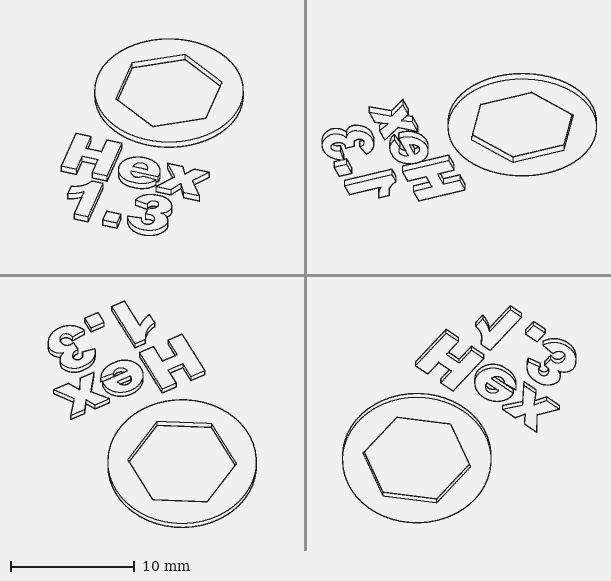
import cadquery as cq
import math

OVERALL_LENGTH = 22.08
THICKNESS = 0.6

RING_DIAMETER = 12.01
HEX_SIDES = 6
HEX_ACROSS_FLATS = 7.6
HEX_ACROSS_CORNERS = HEX_ACROSS_FLATS / math.cos(math.pi / HEX_SIDES)

UPPER_BASELINE = -10.97
THREE_OVERSHOOT = 0.1
LOWER_BASELINE = RING_DIAMETER / 2 - OVERALL_LENGTH + THREE_OVERSHOOT

H_LEFT = -5.7
E_LEFT = -1.24
X_WIDTH = 3.69
X_LEFT = RING_DIAMETER / 2 - X_WIDTH
ONE_LEFT = -4.25
DOT_LEFT = -0.65
THREE_LEFT = 1.13

H_HEIGHT = 4.0
H_STROKE = 1.28
H_GAP = 1.32
H_WIDTH = 2 * H_STROKE + H_GAP
H_BAR_BOTTOM = 1.6
H_BAR_TOP = 2.58

E_RADIUS_X = 1.7
E_RADIUS_Y = 1.5
E_CENTRE_Y = 1.44
E_EYE_RADIUS = 0.6
E_BAR_TOP = 1.68
E_BAR_BOTTOM = 1.13
E_MOUTH_LEFT = 1.1

X_HEIGHT = 2.87
X_WAIST_Y = 1.55
X_MIDDLE = 1.8

ONE_HEIGHT = 4.08
ONE_WIDTH = 2.36
ONE_STEM = 1.17
ONE_STEM_LEFT = ONE_WIDTH - ONE_STEM

DOT_WIDTH = 1.21
DOT_HEIGHT = 1.08


def character_plane(left, baseline):
    """Workplane whose origin is the left end of a character's baseline."""
    return cq.Workplane("XY", origin=(left, baseline, 0))


def make_ring():
    """Round plate with a hexagonal opening that has corners on the Y axis."""
    disc = cq.Workplane("XY").circle(RING_DIAMETER / 2).extrude(THICKNESS)
    opening = (
        cq.Workplane("XY")
        .transformed(rotate=(0, 0, 90))
        .polygon(HEX_SIDES, HEX_ACROSS_CORNERS)
        .extrude(THICKNESS)
    )
    return disc.cut(opening)


def make_letter_h():
    """Two upright strokes joined by a crossbar."""
    plane = character_plane(H_LEFT, UPPER_BASELINE)
    block = plane.rect(H_WIDTH, H_HEIGHT, centered=False).extrude(THICKNESS)
    lower_gap = (
        plane.moveTo(H_STROKE, 0)
        .rect(H_GAP, H_BAR_BOTTOM, centered=False)
        .extrude(THICKNESS)
    )
    upper_gap = (
        plane.moveTo(H_STROKE, H_BAR_TOP)
        .rect(H_GAP, H_HEIGHT - H_BAR_TOP, centered=False)
        .extrude(THICKNESS)
    )
    return block.cut(lower_gap).cut(upper_gap)


def make_letter_e():
    """Bowl that runs from the right end of the bar round to the lower tip."""
    plane = character_plane(E_LEFT, UPPER_BASELINE)
    bar_drop = (E_BAR_BOTTOM - E_CENTRE_Y) / E_RADIUS_Y
    bar_end = (E_RADIUS_X * (1 + math.sqrt(1 - bar_drop**2)), E_BAR_BOTTOM)
    bar_end_angle = math.degrees(math.asin(bar_drop))
    bowl = (
        plane.moveTo(*bar_end)
        .ellipseArc(E_RADIUS_X, E_RADIUS_Y, bar_end_angle, 180, startAtCurrent=True)
        .threePointArc((0.46, 0.35), (E_RADIUS_X, E_CENTRE_Y - E_RADIUS_Y))
        .threePointArc((2.7, 0.13), (3.33, 0.75))
        .lineTo(2.2, 0.85)
        .threePointArc((E_RADIUS_X, 0.57), (E_MOUTH_LEFT, E_BAR_BOTTOM))
        .close()
        .extrude(THICKNESS)
    )
    eye = (
        plane.moveTo(E_RADIUS_X + E_EYE_RADIUS, E_BAR_TOP)
        .threePointArc(
            (E_RADIUS_X, E_BAR_TOP + E_EYE_RADIUS),
            (E_RADIUS_X - E_EYE_RADIUS, E_BAR_TOP),
        )
        .close()
        .extrude(THICKNESS)
    )
    return bowl.cut(eye)


def make_letter_x():
    """Two crossed strokes with flat ends."""
    outline = [
        (0, 0),
        (1.25, 0),
        (X_MIDDLE, 0.95),
        (2.35, 0),
        (X_WIDTH, 0),
        (2.6, X_WAIST_Y),
        (3.62, X_HEIGHT),
        (2.35, X_HEIGHT),
        (X_MIDDLE, 2.08),
        (1.4, X_HEIGHT),
        (0.07, X_HEIGHT),
        (1.1, X_WAIST_Y),
    ]
    return character_plane(X_LEFT, UPPER_BASELINE).polyline(outline).close().extrude(THICKNESS)


def make_digit_one():
    """Upright stem with a curved flag at its upper left."""
    return (
        character_plane(ONE_LEFT, LOWER_BASELINE)
        .moveTo(ONE_STEM_LEFT, 0)
        .lineTo(ONE_WIDTH, 0)
        .lineTo(ONE_WIDTH, ONE_HEIGHT)
        .lineTo(1.41, ONE_HEIGHT)
        .threePointArc((1.0, 3.47), (0, 3.0))
        .lineTo(0, 2.08)
        .threePointArc((0.7, 2.36), (ONE_STEM_LEFT, 2.7))
        .close()
        .extrude(THICKNESS)
    )


def make_full_stop():
    """Rectangular dot on the lower baseline."""
    plane = character_plane(DOT_LEFT, LOWER_BASELINE)
    return plane.rect(DOT_WIDTH, DOT_HEIGHT, centered=False).extrude(THICKNESS)


def make_digit_three():
    """Two stacked bowls, open to the left, outlined by a chain of arcs."""
    return (
        character_plane(THREE_LEFT, LOWER_BASELINE)
        .moveTo(0.07, 3.0)
        .threePointArc((0.57, 3.75), (1.6, 4.06))
        .threePointArc((2.72, 3.75), (3.14, 3.1))
        .threePointArc((2.98, 2.52), (2.5, 2.19))
        .threePointArc((3.14, 1.8), (3.33, 1.2))
        .threePointArc((2.85, 0.33), (1.68, -THREE_OVERSHOOT))
        .threePointArc((0.57, 0.25), (0, 1.04))
        .lineTo(1.17, 1.17)
        .threePointArc((1.37, 0.73), (1.72, 0.57))
        .threePointArc((2.08, 0.75), (2.2, 1.2))
        .threePointArc((2.03, 1.61), (1.65, 1.75))
        .lineTo(1.32, 1.68)
        .lineTo(1.32, 2.45)
        .lineTo(1.55, 2.47)
        .threePointArc((1.88, 2.63), (2.03, 2.98))
        .threePointArc((1.9, 3.27), (1.57, 3.33))
        .threePointArc((1.24, 3.15), (1.15, 2.8))
        .close()
        .extrude(THICKNESS)
    )


ring = make_ring()
letter_h = make_letter_h()
letter_e = make_letter_e()
letter_x = make_letter_x()
digit_one = make_digit_one()
full_stop = make_full_stop()
digit_three = make_digit_three()

result = cq.Compound.makeCompound([
    ring.val(),
    letter_h.val(),
    letter_e.val(),
    letter_x.val(),
    digit_one.val(),
    full_stop.val(),
    digit_three.val(),
])